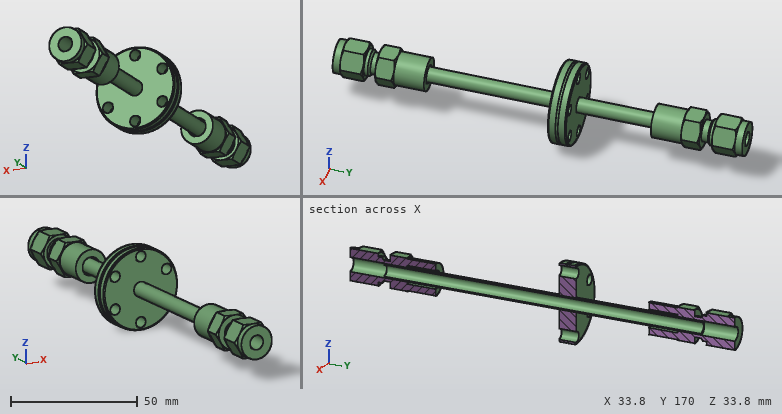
import cadquery as cq
import math

OVERALL_LENGTH = 170.0

TUBE_DIAMETER = 6.3
TUBE_BORE = 4.8

FLANGE_DIAMETER = 33.8
FLANGE_THICKNESS = 7.6
FLANGE_FRONT = 7.3
FLANGE_BACK = FLANGE_FRONT + FLANGE_THICKNESS
RIM_CHAMFER = 0.5
GROOVE_WIDTH = 1.0
GROOVE_DEPTH = 0.2
BOLT_COUNT = 6
BOLT_HOLE_DIAMETER = 4.5
BOLT_CIRCLE_DIAMETER = 27.0
FIRST_BOLT_ANGLE = 90.0

CAP_END = 3.0
NUT_END = 12.5
COLLAR_END = 14.1
NECK_START = 15.0
NECK_END = 17.7
BODY_HEX_END = 25.3
FITTING_LENGTH = 37.9
TUBE_SEAT = NECK_START
SOCKET_START = BODY_HEX_END

CAP_DIAMETER = 14.0
COLLAR_DIAMETER = 11.0
NECK_DIAMETER = 9.0
SLEEVE_DIAMETER = 13.8
ENTRY_BORE = 6.0
SOCKET_DIAMETER = 7.6
NUT_ACROSS_FLATS = 14.0
NUT_FACE_DIAMETER = CAP_DIAMETER
BODY_ACROSS_FLATS = 14.3
BODY_FACE_DIAMETER = BODY_ACROSS_FLATS
HEX_SIDES = 6
HEX_CHAMFER_ANGLE = 30.0


def cylinder(diameter, start, end):
    """Cylinder on the Y axis between two Y stations."""
    return cq.Workplane("XZ", origin=(0, start, 0)).circle(diameter / 2).extrude(start - end)


def revolve_profile(points):
    """Solid of revolution about the Y axis from (radius, y) points."""
    return cq.Workplane("XY").polyline(points).close().revolve(360, (0, 0, 0), (0, 1, 0))


def chamfered_hexagon(across_flats, face_diameter, start, end):
    """Hexagon with two corners on X, its corners turned off conically at both ends."""
    across_corners = across_flats / math.cos(math.pi / HEX_SIDES)
    hexagon = (
        cq.Workplane("XZ", origin=(0, start, 0))
        .polygon(HEX_SIDES, across_corners)
        .extrude(start - end)
    )
    corner_radius = across_corners / 2
    face_radius = face_diameter / 2
    chamfer_length = (corner_radius - face_radius) * math.tan(math.radians(HEX_CHAMFER_ANGLE))
    envelope = revolve_profile(
        [
            (0, start),
            (face_radius, start),
            (corner_radius, start + chamfer_length),
            (corner_radius, end - chamfer_length),
            (face_radius, end),
            (0, end),
        ]
    )
    return hexagon.intersect(envelope)


def make_tube():
    """Straight tube through the flange, seated in a fitting at each end."""
    half_length = OVERALL_LENGTH / 2 - TUBE_SEAT
    tube = cylinder(TUBE_DIAMETER, -half_length, half_length)
    return tube.cut(cylinder(TUBE_BORE, -half_length, half_length))


def make_flange():
    """Round bolted flange with chamfered rims and a shallow groove around its edge."""
    flange = cylinder(FLANGE_DIAMETER, FLANGE_FRONT, FLANGE_BACK).edges().chamfer(RIM_CHAMFER)

    groove_start = FLANGE_FRONT + (FLANGE_THICKNESS - GROOVE_WIDTH) / 2
    groove_end = groove_start + GROOVE_WIDTH
    groove_floor = cylinder(FLANGE_DIAMETER - 2 * GROOVE_DEPTH, groove_start, groove_end)
    groove = cylinder(FLANGE_DIAMETER, groove_start, groove_end).cut(groove_floor)

    bolt_holes = (
        cq.Workplane("XZ", origin=(0, FLANGE_FRONT, 0))
        .polarArray(BOLT_CIRCLE_DIAMETER / 2, FIRST_BOLT_ANGLE, 360, BOLT_COUNT)
        .circle(BOLT_HOLE_DIAMETER / 2)
        .extrude(-FLANGE_THICKNESS)
    )
    tube_hole = cylinder(TUBE_DIAMETER, FLANGE_FRONT, FLANGE_BACK)
    return flange.cut(groove).cut(bolt_holes).cut(tube_hole)


def make_fitting():
    """Compression fitting with its outer end facing -Y."""
    fitting = revolve_profile(
        [
            (0, 0),
            (CAP_DIAMETER / 2, 0),
            (CAP_DIAMETER / 2, CAP_END),
            (COLLAR_DIAMETER / 2, CAP_END),
            (COLLAR_DIAMETER / 2, COLLAR_END),
            (NECK_DIAMETER / 2, NECK_START),
            (NECK_DIAMETER / 2, NECK_END),
            (SLEEVE_DIAMETER / 2, NECK_END),
            (SLEEVE_DIAMETER / 2, FITTING_LENGTH),
            (0, FITTING_LENGTH),
        ]
    )

    nut_hexagon = chamfered_hexagon(NUT_ACROSS_FLATS, NUT_FACE_DIAMETER, CAP_END, NUT_END)
    body_hexagon = chamfered_hexagon(BODY_ACROSS_FLATS, BODY_FACE_DIAMETER, NECK_END, BODY_HEX_END)
    fitting = fitting.union(nut_hexagon).union(body_hexagon)

    fitting = fitting.cut(cylinder(ENTRY_BORE, 0, TUBE_SEAT))
    fitting = fitting.cut(cylinder(TUBE_DIAMETER, TUBE_SEAT, SOCKET_START))
    fitting = fitting.cut(cylinder(SOCKET_DIAMETER, SOCKET_START, FITTING_LENGTH))
    return fitting.translate((0, -OVERALL_LENGTH / 2, 0))


tube = make_tube().solids().val()
flange = make_flange().solids().val()
fitting = make_fitting().solids().val()
fittings = [fitting.rotate((0, 0, 0), (0, 0, 1), turn) for turn in (0, 180)]

result = cq.Compound.makeCompound([tube, flange, *fittings])